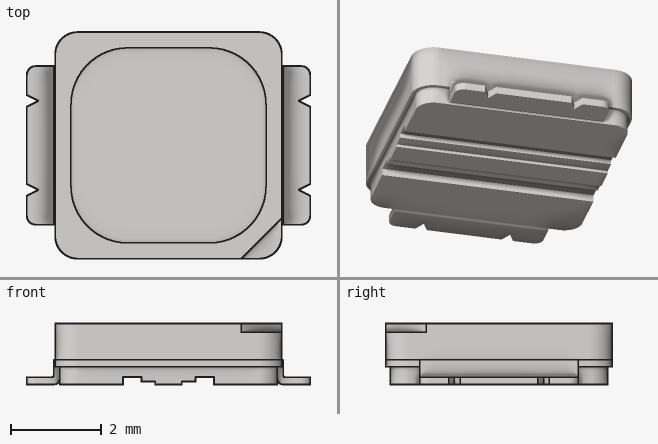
import cadquery as cq

total_height = 1.35
body_side = 5.0
body_corner_radius = 0.5
base_inset = 0.1
base_side = body_side - 2 * base_inset
base_corner_radius = body_corner_radius - base_inset
sheet_thickness = 0.16
plate_top = 0.55
plate_bottom = plate_top - sheet_thickness

window_side = 4.3
window_corner_radius = 1.25
window_depth = 0.05
mark_leg = 0.9
mark_depth = 0.2

lead_span = 6.25
lead_tip = lead_span / 2
lead_width = 3.5
lead_outer_face = 2.53
lead_top_radius = lead_outer_face - body_side / 2
lead_inner_face = base_side / 2
inner_bend_radius = 0.045
outer_bend_radius = 0.12
lead_corner_radius = 0.2
v_notch_width = 0.255
v_notch_depth = 0.255
v_notch_offset = 0.98

groove_outer = 1.0
groove_inner = 0.6
groove_height = 0.16
pad_half_width = 0.295
shoulder_height = 0.06


def rounded_block(side, corner_radius, bottom, top):
    """Square block with rounded vertical edges between two heights."""
    block = cq.Workplane("XY").workplane(offset=bottom).rect(side, side).extrude(top - bottom)
    return block.edges("|Z").fillet(corner_radius)


def make_housing():
    """Upper frame with a shallow window and one corner cut down as a polarity mark."""
    housing = rounded_block(body_side, body_corner_radius, plate_top, total_height)
    window = rounded_block(window_side, window_corner_radius, total_height - window_depth, total_height)
    corner = body_side / 2
    mark = (
        cq.Workplane("XY")
        .workplane(offset=total_height - mark_depth)
        .polyline([(corner, -corner), (corner, mark_leg - corner), (corner - mark_leg, -corner)])
        .close()
        .extrude(mark_depth)
    )
    return housing.cut(window).cut(mark)


def make_right_lead():
    """Lead that drops from the plate and bends outwards into a notched foot."""
    inner_bend_x = lead_outer_face + inner_bend_radius
    outer_bend_x = lead_inner_face + outer_bend_radius
    lead = (
        cq.Workplane("XZ")
        .moveTo(lead_inner_face, plate_top)
        .lineTo(lead_outer_face - lead_top_radius, plate_top)
        .radiusArc((lead_outer_face, plate_top - lead_top_radius), lead_top_radius)
        .lineTo(lead_outer_face, sheet_thickness + inner_bend_radius)
        .radiusArc((inner_bend_x, sheet_thickness), -inner_bend_radius)
        .lineTo(lead_tip, sheet_thickness)
        .lineTo(lead_tip, 0)
        .lineTo(outer_bend_x, 0)
        .radiusArc((lead_inner_face, outer_bend_radius), outer_bend_radius)
        .close()
        .extrude(lead_width / 2, both=True)
    )
    lead = lead.edges("|Z and >X").fillet(lead_corner_radius)
    for notch_y in (-v_notch_offset, v_notch_offset):
        notch = (
            cq.Workplane("XY")
            .polyline([
                (lead_tip, notch_y - v_notch_width / 2),
                (lead_tip, notch_y + v_notch_width / 2),
                (lead_tip - v_notch_depth, notch_y),
            ])
            .close()
            .extrude(sheet_thickness)
        )
        lead = lead.cut(notch)
    return lead


def make_lead_frame():
    """Plate between housing and base, carrying a bent lead on each X side."""
    plate = rounded_block(body_side, body_corner_radius, plate_bottom, plate_top)
    right_lead = make_right_lead()
    return plate.union(right_lead).union(right_lead.mirror("YZ"))


def make_base():
    """Lower block with an underside relief that runs through along Y."""
    base = rounded_block(base_side, base_corner_radius, 0, plate_bottom)
    relief = (
        cq.Workplane("XZ")
        .polyline([
            (groove_outer, 0),
            (groove_outer, groove_height),
            (groove_inner, groove_height),
            (groove_inner, shoulder_height),
            (pad_half_width, shoulder_height),
            (pad_half_width, 0),
        ])
        .close()
        .extrude(base_side / 2, both=True)
    )
    return base.cut(relief).cut(relief.mirror("YZ"))


housing = make_housing()
lead_frame = make_lead_frame()
base = make_base()
result = cq.Compound.makeCompound([housing.val(), lead_frame.val(), base.val()])